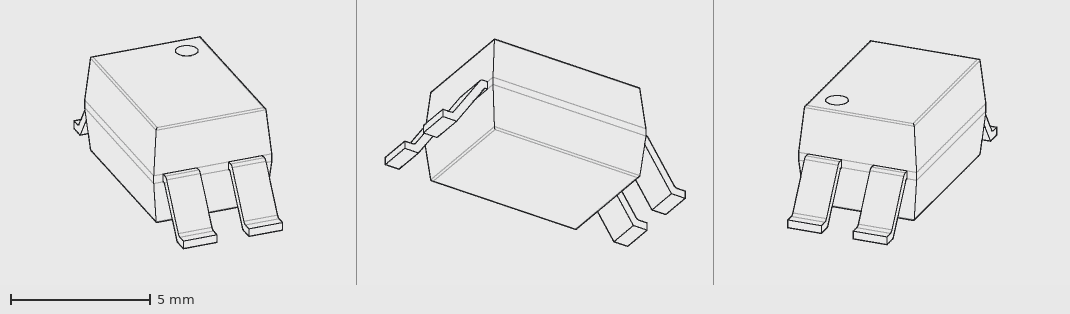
import cadquery as cq
import math

overall_length = 10.3
body_length = 6.5
body_width = 4.58
overall_height = 3.9

standoff = 0.09
lead_thickness = 0.31
belt_bottom = 1.8
belt_top = belt_bottom + lead_thickness
taper_inset = 0.16
edge_radius = 0.07

mark_diameter = 0.81
mark_depth = 0.41
mark_x = -2.19
mark_y = 1.24

lead_width = 1.31
lead_pitch = 2.54
foot_length = 0.42
shoulder_length = 0.28
bend_radius = 0.18


def make_half(start_z, height):
    """Half of the body from the belt to an end face; a negative height goes down."""
    taper_angle = math.degrees(math.atan2(taper_inset, abs(height)))
    half = (
        cq.Workplane("XY")
        .workplane(offset=start_z)
        .rect(body_length, body_width)
        .extrude(height, taper=taper_angle)
    )
    end_face = ">Z" if height > 0 else "<Z"
    return half.faces(end_face).edges().fillet(edge_radius)


def make_housing():
    """Tapered body with its belt and pin-one recess."""
    belt = (
        cq.Workplane("XY")
        .workplane(offset=belt_bottom)
        .rect(body_length, body_width)
        .extrude(lead_thickness)
    )
    upper_half = make_half(belt_top, overall_height - belt_top)
    lower_half = make_half(belt_bottom, standoff - belt_bottom)
    mark = (
        cq.Workplane("XY")
        .workplane(offset=overall_height - mark_depth)
        .center(mark_x, mark_y)
        .circle(mark_diameter / 2)
        .extrude(mark_depth)
    )
    return belt.union(upper_half).union(lower_half).cut(mark)


def make_lead(side, center_y):
    """Bent strip of even thickness; side is -1 or 1 along X."""
    toe_x = overall_length / 2
    root_x = body_length / 2
    foot_bend_x = toe_x - foot_length
    shoulder_bend_x = root_x + shoulder_length
    slope_angle = math.atan2(belt_top - lead_thickness, foot_bend_x - shoulder_bend_x)
    miter_shift = lead_thickness * math.tan(slope_angle / 2)

    outline = [
        (toe_x, 0),
        (toe_x, lead_thickness),
        (foot_bend_x, lead_thickness),
        (shoulder_bend_x, belt_top),
        (root_x, belt_top),
        (root_x, belt_bottom),
        (shoulder_bend_x - miter_shift, belt_bottom),
        (foot_bend_x - miter_shift, 0),
    ]
    strip = (
        cq.Workplane("XZ", origin=(0, center_y, 0))
        .polyline([(side * x, z) for x, z in outline])
        .close()
        .extrude(lead_width / 2, both=True)
    )
    upper_bends = [(foot_bend_x, lead_thickness), (shoulder_bend_x, belt_top)]
    for x, z in upper_bends:
        bend_point = (side * x, center_y, z)
        strip = strip.edges(cq.selectors.NearestToPointSelector(bend_point)).fillet(bend_radius)
    return strip


housing = make_housing()
leads = [
    make_lead(side, row * lead_pitch / 2)
    for side in (-1, 1)
    for row in (-1, 1)
]

result = cq.Compound.makeCompound([housing.val(), *[lead.val() for lead in leads]])